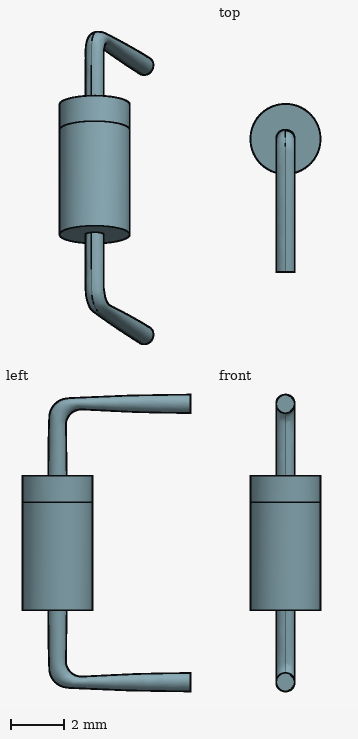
import cadquery as cq
import math

OVERALL_HEIGHT = 11.15
OVERALL_DEPTH = 6.32
HOUSING_DIAMETER = 2.64
HOUSING_LENGTH = 5.05
CAP_LENGTH = 0.99
WIRE_DIAMETER = 0.7
BEND_RADIUS = 0.67
SECTION_COUNT = 25

housing_radius = HOUSING_DIAMETER / 2
housing_top = HOUSING_LENGTH / 2
wire_radius = WIRE_DIAMETER / 2
tip_y = housing_radius - OVERALL_DEPTH
arm_z = OVERALL_HEIGHT / 2 - wire_radius


def lead_centre_line():
    """Straight up from the cap, round the bend and out along -Y to the tip."""
    return (
        cq.Workplane("YZ")
        .moveTo(0, housing_top)
        .lineTo(0, arm_z - BEND_RADIUS)
        .tangentArcPoint((-BEND_RADIUS, arm_z), relative=False)
        .lineTo(tip_y, arm_z)
        .wire()
        .val()
    )


def make_upper_lead():
    """Loft of equal circles that turn evenly from level to upright along the centre line.

    The circles lag behind the bend, which makes the wire thinner in Z just after it.
    """
    centre_line = lead_centre_line()
    sections = []
    for index in range(SECTION_COUNT):
        fraction = index / (SECTION_COUNT - 1)
        turn = fraction * math.pi / 2
        centre = centre_line.positionAt(fraction)
        normal = cq.Vector(0, -math.sin(turn), math.cos(turn))
        sections.append(cq.Wire.makeCircle(wire_radius, centre, normal))
    return cq.Workplane(cq.Solid.makeLoft(sections))


def make_cylinder(bottom, length):
    return cq.Workplane(origin=(0, 0, bottom)).circle(housing_radius).extrude(length)


def make_cap(upper_lead):
    """Short upper cylinder with its lead."""
    return make_cylinder(housing_top - CAP_LENGTH, CAP_LENGTH).union(upper_lead)


def make_housing(lower_lead):
    """Long lower cylinder with its lead, meeting the cap face to face."""
    return make_cylinder(-housing_top, HOUSING_LENGTH - CAP_LENGTH).union(lower_lead)


upper_lead = make_upper_lead()
lower_lead = upper_lead.mirror("XY")

cap = make_cap(upper_lead)
housing = make_housing(lower_lead)

result = cq.Compound.makeCompound([housing.val(), cap.val()])